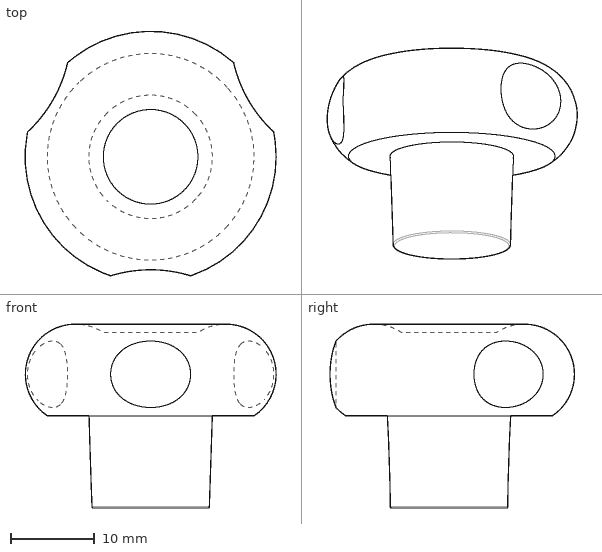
import cadquery as cq
import math

head_radius = 15.0
rim_radius = 6.0
total_height = 21.98
rim_trim = 4.98
stem_bottom_radius = 7.02
stem_top_radius = 7.38
stem_edge_radius = 0.18
scallop_count = 3
scallop_radius = 16.2
scallop_floor = 13.5
first_scallop_angle = -90.0

rim_centre_radius = head_radius - rim_radius
rim_centre_height = total_height - rim_radius
underside_height = rim_centre_height - rim_trim
dish_height = rim_centre_height + rim_trim
trim_half_width = math.sqrt(rim_radius**2 - rim_trim**2)
dish_radius = rim_centre_radius - trim_half_width
underside_radius = rim_centre_radius + trim_half_width


def make_head():
    """Revolve the round rim with its flat underside and shallow dished top."""
    return (
        cq.Workplane("XZ")
        .moveTo(0, underside_height)
        .lineTo(underside_radius, underside_height)
        .threePointArc((rim_centre_radius, total_height), (dish_radius, dish_height))
        .lineTo(0, dish_height)
        .close()
        .revolve(360, (0, 0), (0, 1))
    )


def make_stem():
    """Revolve the tapered stem, wider at the head, with a rounded bottom edge."""
    stem = (
        cq.Workplane("XZ")
        .lineTo(stem_bottom_radius, 0)
        .lineTo(stem_top_radius, underside_height)
        .lineTo(0, underside_height)
        .close()
        .revolve(360, (0, 0), (0, 1))
    )
    return stem.faces("<Z").edges().fillet(stem_edge_radius)


def make_scallops():
    """Vertical cylinders that cut the finger grips into the rim."""
    return (
        cq.Workplane("XY")
        .workplane(offset=underside_height)
        .polarArray(scallop_floor + scallop_radius, first_scallop_angle, 360, scallop_count)
        .circle(scallop_radius)
        .extrude(total_height - underside_height)
    )


result = make_head().cut(make_scallops()).union(make_stem())